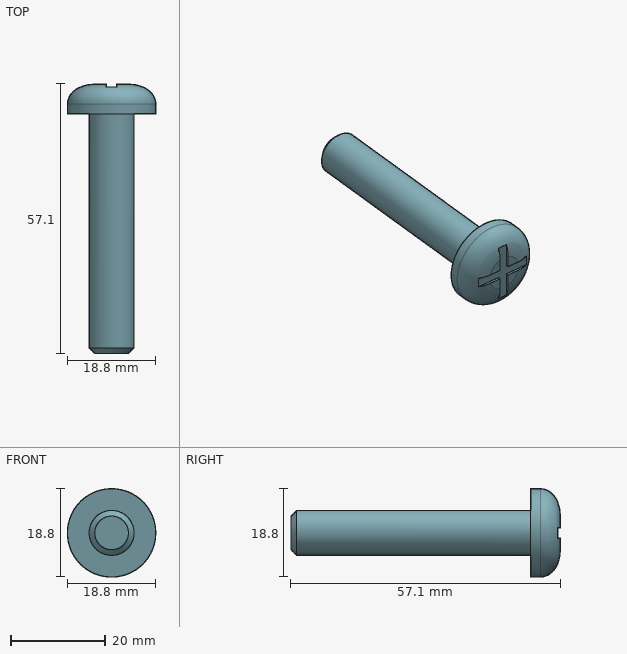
import cadquery as cq

length = 57.05
head_diameter = 18.8
shank_diameter = 9.55

head_height = 6.3
rim_height = 2.05
crown_flat_radius = 3.9

slot_width = 2.15
slot_depth = 0.54

tip_chamfer = 1.2

head_radius = head_diameter / 2
shank_radius = shank_diameter / 2
tip_y = -length / 2
crown_y = length / 2
seat_y = crown_y - head_height
rim_top_y = seat_y + rim_height


def make_body():
    """Revolve the half profile of the shank and the domed head about Y."""
    profile = (
        cq.Workplane("XY")
        .moveTo(0, tip_y)
        .lineTo(shank_radius - tip_chamfer, tip_y)
        .lineTo(shank_radius, tip_y + tip_chamfer)
        .lineTo(shank_radius, seat_y)
        .lineTo(head_radius, seat_y)
        .lineTo(head_radius, rim_top_y)
        .ellipseArc(
            head_radius - crown_flat_radius,
            crown_y - rim_top_y,
            angle1=0,
            angle2=90,
            startAtCurrent=True,
        )
        .lineTo(0, crown_y)
        .close()
    )
    return profile.revolve(360, (0, 0, 0), (0, 1, 0))


def make_cross_slot():
    """Two crossing slots that run across the whole crown."""
    arm = cq.Workplane("XY").box(head_diameter, slot_depth, slot_width)
    arm = arm.translate((0, crown_y - slot_depth / 2, 0))
    return arm.union(arm.rotate((0, 0, 0), (0, 1, 0), 90))


result = make_body().cut(make_cross_slot())